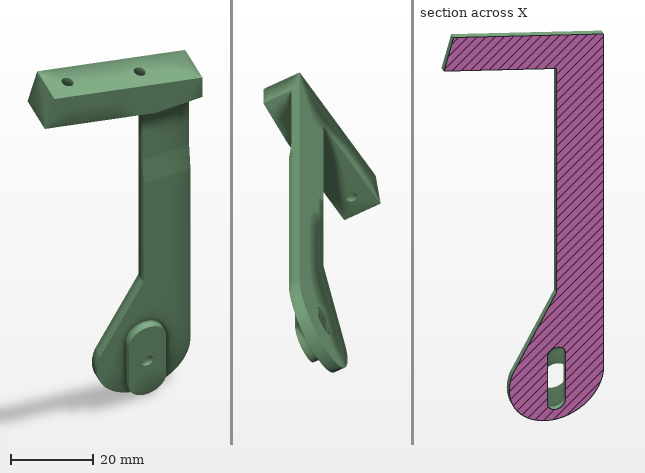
import cadquery as cq
import math

PLATE_THICKNESS = 3.0
HUB_RADIUS = 12.5
TAPER_START_Z = 26.3
TAPER_END_Z = 4.5
OVERALL_HEIGHT = 124.83

BAR_WIDTH = 10.0
BAR_HEIGHT = 10.0
BAR_TILT = 15.0
BAR_LENGTH = 41.0
BAR_HOLE_DIAMETER = 3.0
BAR_HOLE_OFFSETS = (6.0, 26.0)

THIN_THICKNESS = 2.2
RAMP_TOP_Z = 70.0
RAMP_BOTTOM_Z = 62.0

BOSS_TOP_X = 5.2
BOSS_LENGTH = 24.0
BOSS_WIDTH = 10.0
POCKET_WIDTH = 4.7
POCKET_SKIN = 0.2
POCKET_FLOOR_X = 2.2
ACCESS_DIAMETER = 7.2
SCREW_DIAMETER = 3.2

tilt = math.radians(BAR_TILT)
slot_centre_distance = BOSS_LENGTH - BOSS_WIDTH
arm_back_y = HUB_RADIUS
bar_top_z = OVERALL_HEIGHT - HUB_RADIUS
bar_end_y = arm_back_y - BAR_LENGTH * math.cos(tilt)
bar_back_z = bar_top_z - BAR_LENGTH * math.sin(tilt)
bar_tip_y = bar_end_y - BAR_HEIGHT * math.sin(tilt)
bar_tip_z = bar_top_z - BAR_HEIGHT * math.cos(tilt)
inner_corner_z = bar_tip_z + bar_tip_y * math.tan(tilt)


def side_plane(x):
    """Sketch plane at the given X, with local axes along Y and Z."""
    return cq.Workplane("YZ", origin=(x, 0, 0))


def upright_slot(x, width):
    """Slot outline standing along Z, centred on the bore axis."""
    return side_plane(x).slot2D(slot_centre_distance + width, width, 90)


def make_arm():
    """Plate with a round hub, a tapering neck and a straight shank."""
    taper_end_y = -math.sqrt(HUB_RADIUS**2 - TAPER_END_Z**2)
    outline = (
        side_plane(0)
        .moveTo(arm_back_y, 0)
        .lineTo(arm_back_y, inner_corner_z)
        .lineTo(0, inner_corner_z)
        .lineTo(0, TAPER_START_Z)
        .lineTo(taper_end_y, TAPER_END_Z)
        .threePointArc((0, -HUB_RADIUS), (arm_back_y, 0))
        .close()
    )
    return outline.extrude(PLATE_THICKNESS)


def make_thinning_cut():
    """Material removed from the +X face above the ramp."""
    profile = (
        cq.Workplane("XZ", origin=(0, arm_back_y, 0))
        .moveTo(PLATE_THICKNESS, RAMP_BOTTOM_Z)
        .lineTo(THIN_THICKNESS, RAMP_TOP_Z)
        .lineTo(THIN_THICKNESS, bar_top_z)
        .lineTo(PLATE_THICKNESS, bar_top_z)
        .close()
    )
    return profile.extrude(arm_back_y)


def make_bar():
    """Inclined bar, filled out to a level underside above the arm."""
    corners = [
        (0, inner_corner_z),
        (arm_back_y, inner_corner_z),
        (arm_back_y, bar_back_z),
        (bar_end_y, bar_top_z),
        (bar_tip_y, bar_tip_z),
    ]
    return side_plane(0).polyline(corners).close().extrude(BAR_WIDTH)


def make_bar_hole(offset):
    """Drill through the bar, square to its top face."""
    into_bar = cq.Vector(0, -math.sin(tilt), -math.cos(tilt))
    start = cq.Vector(
        BAR_WIDTH / 2,
        bar_end_y + offset * math.cos(tilt),
        bar_top_z - offset * math.sin(tilt),
    )
    return cq.Solid.makeCylinder(BAR_HOLE_DIAMETER / 2, BAR_HEIGHT, start, into_bar)


def make_boss():
    """Raised slot-shaped pad on the +X side of the hub."""
    return upright_slot(PLATE_THICKNESS, BOSS_WIDTH).extrude(BOSS_TOP_X - PLATE_THICKNESS)


def make_hub_cavity():
    """Round access opening, pocket behind it and the screw hole."""
    access = side_plane(0).circle(ACCESS_DIAMETER / 2).extrude(POCKET_SKIN)
    pocket = upright_slot(POCKET_SKIN, POCKET_WIDTH).extrude(POCKET_FLOOR_X - POCKET_SKIN)
    screw_hole = side_plane(0).circle(SCREW_DIAMETER / 2).extrude(BOSS_TOP_X)
    return access.union(pocket).union(screw_hole)


part = make_arm().cut(make_thinning_cut())
part = part.union(make_bar()).union(make_boss())
part = part.cut(make_hub_cavity())
for hole_offset in BAR_HOLE_OFFSETS:
    part = part.cut(make_bar_hole(hole_offset))

result = part